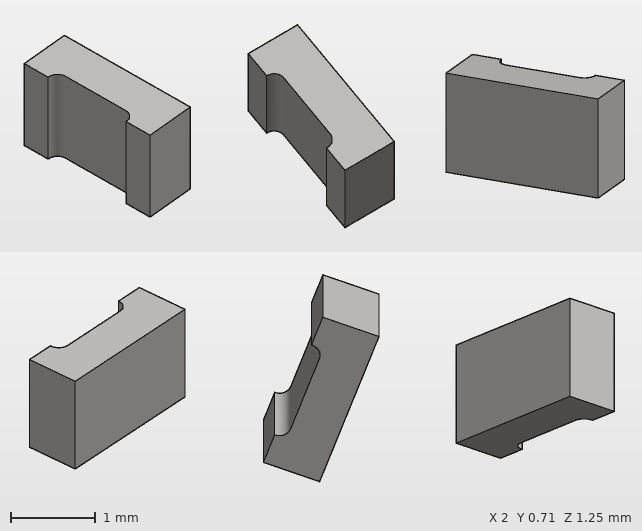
import cadquery as cq

length = 2.0
depth = 0.71
height = 1.25

recess_width = 1.235
recess_depth = 0.15
corner_radius = 0.14


def make_block():
    return cq.Workplane("XY").box(length, depth, height)


def make_recess():
    """Recess volume with its two inner vertical edges rounded."""
    floor_y = -depth / 2 + recess_depth
    return (
        cq.Workplane("XY")
        .box(recess_width, recess_depth, height)
        .edges("|Z and >Y")
        .fillet(corner_radius)
        .translate((0, floor_y - recess_depth / 2, 0))
    )


result = make_block().cut(make_recess())